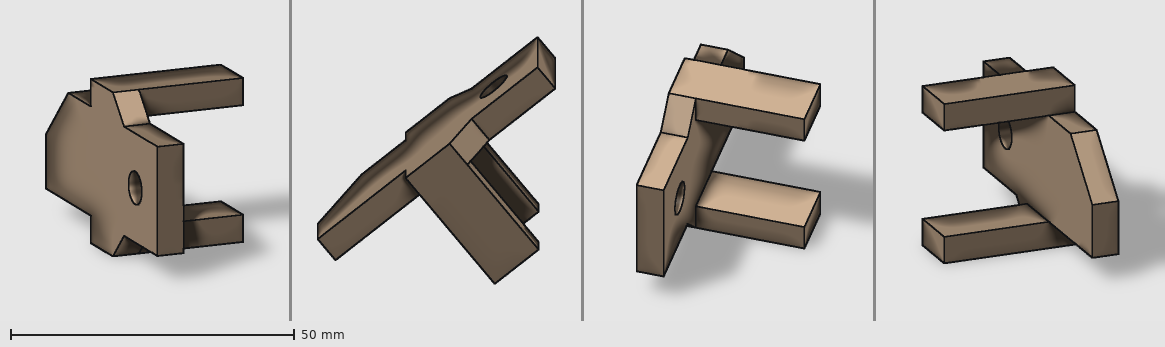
import cadquery as cq

length = 50.0
plate_height = 20.0
plate_thickness = 5.0
corner_chamfer = 10.0

arm_start = 20.0
arm_width = 10.0
arm_height = 5.0
arm_depth = 25.0

hole_diameter = 6.0
hole_from_right = 10.0

arm_end = arm_start + arm_width
half_height = plate_height / 2


def block(x, y_depth, z, width, height):
    """Box from the front face backward, with its lower left corner at (x, z)."""
    return cq.Workplane("XY").box(width, y_depth, height, centered=False).translate((x, 0, z))


def gusset(side):
    """Plate-thick 45 degree wedge beside an arm; side is +1 for top, -1 for bottom."""
    edge = side * half_height
    return (
        cq.Workplane("XZ")
        .moveTo(arm_end, edge)
        .lineTo(arm_end + arm_height, edge)
        .lineTo(arm_end, edge + side * arm_height)
        .close()
        .extrude(-plate_thickness)
    )


plate = (
    block(0, plate_thickness, -half_height, length, plate_height)
    .faces("<X")
    .edges(">Z")
    .chamfer(corner_chamfer)
)

top_arm = block(arm_start, arm_depth, half_height, arm_width, arm_height)
bottom_arm = block(arm_start, arm_depth, -half_height - arm_height, arm_width, arm_height)
body = plate.union(top_arm).union(bottom_arm).union(gusset(1)).union(gusset(-1))

hole = (
    cq.Workplane("XZ")
    .center(length - hole_from_right, 0)
    .circle(hole_diameter / 2)
    .extrude(-plate_thickness)
)
result = body.cut(hole).clean()